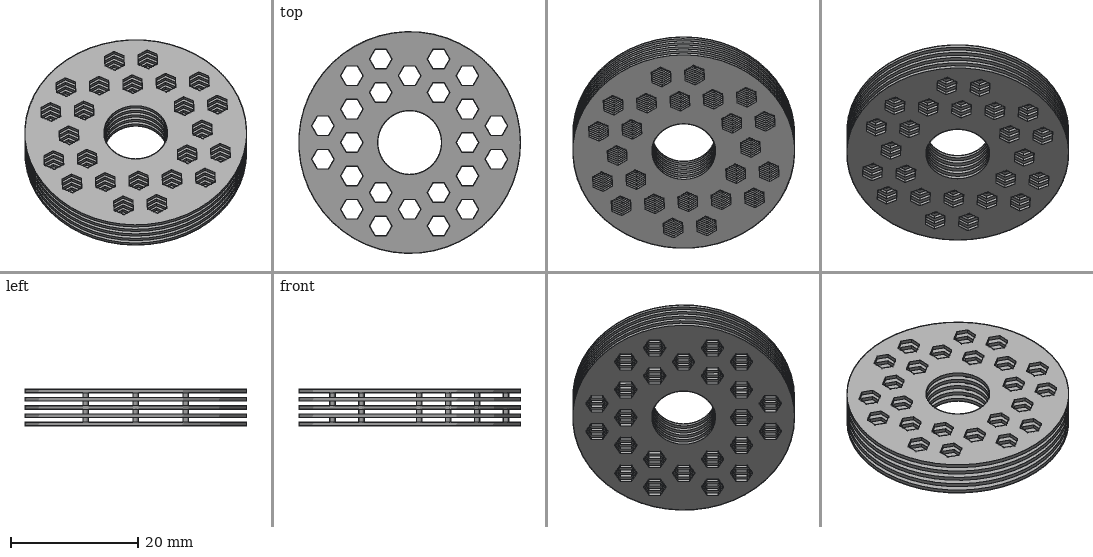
import cadquery as cq
import math

DISK_DIAMETER = 34.9
BORE_DIAMETER = 10.0
DISK_COUNT = 5
STACK_HEIGHT = 5.8
DISK_THICKNESS = 0.6
DISK_GAP = (STACK_HEIGHT - DISK_COUNT * DISK_THICKNESS) / (DISK_COUNT - 1)
DISK_PITCH = DISK_THICKNESS + DISK_GAP

HEX_SIDE = 1.75
ROW_PITCH = 3 * HEX_SIDE
COLUMN_PITCH = ROW_PITCH * math.sqrt(3) / 2

HOLE_ROWS_BY_COLUMN = {
    0: (2,),
    1: (1.5, 2.5),
    2: (0, 1, 2),
    3: (0.5,),
}

PIN_DIAMETER = 0.9
PIN_OFFSET_X = COLUMN_PITCH / 3
PIN_ROW_Y = 1.5 * ROW_PITCH
SIDE_PIN_COLUMNS = (-2, 0, 2)
CENTER_PIN_COLUMNS = (-3, 1, 3)

GAPS_WITHOUT_PIN = {-3: 1, 3: 2}


def hex_hole_centers():
    """Hole centres, mirrored about the X and Y axes without repeats."""
    centers = set()
    for column, rows in HOLE_ROWS_BY_COLUMN.items():
        for row in rows:
            for column_side in (-1, 1):
                for row_side in (-1, 1):
                    centers.add((column_side * column * COLUMN_PITCH, row_side * row * ROW_PITCH))
    return sorted(centers)


def perforated_disk(bottom_z):
    """One plate with its centre bore and hexagonal holes."""
    disk = (
        cq.Workplane("XY", origin=(0, 0, bottom_z))
        .circle(DISK_DIAMETER / 2)
        .circle(BORE_DIAMETER / 2)
        .extrude(DISK_THICKNESS)
    )
    holes = (
        cq.Workplane("XY", origin=(0, 0, bottom_z))
        .pushPoints(hex_hole_centers())
        .polygon(6, 2 * HEX_SIDE)
        .extrude(DISK_THICKNESS)
    )
    return disk.cut(holes)


def pin_centers(gap):
    """Pin centres in one gap between neighbouring plates."""
    centers = []
    for column in SIDE_PIN_COLUMNS:
        for row_y in (-PIN_ROW_Y, PIN_ROW_Y):
            centers.append((column * COLUMN_PITCH + PIN_OFFSET_X, row_y))
    for column in CENTER_PIN_COLUMNS:
        if GAPS_WITHOUT_PIN.get(column) != gap:
            centers.append((column * COLUMN_PITCH + PIN_OFFSET_X, 0))
    return centers


def spacer_pins(gap):
    """Pins that fill one gap from plate to plate."""
    bottom_z = gap * DISK_PITCH + DISK_THICKNESS
    return (
        cq.Workplane("XY", origin=(0, 0, bottom_z))
        .pushPoints(pin_centers(gap))
        .circle(PIN_DIAMETER / 2)
        .extrude(DISK_GAP)
    )


result = perforated_disk(0)
for gap in range(DISK_COUNT - 1):
    result = result.union(spacer_pins(gap))
    result = result.union(perforated_disk((gap + 1) * DISK_PITCH))